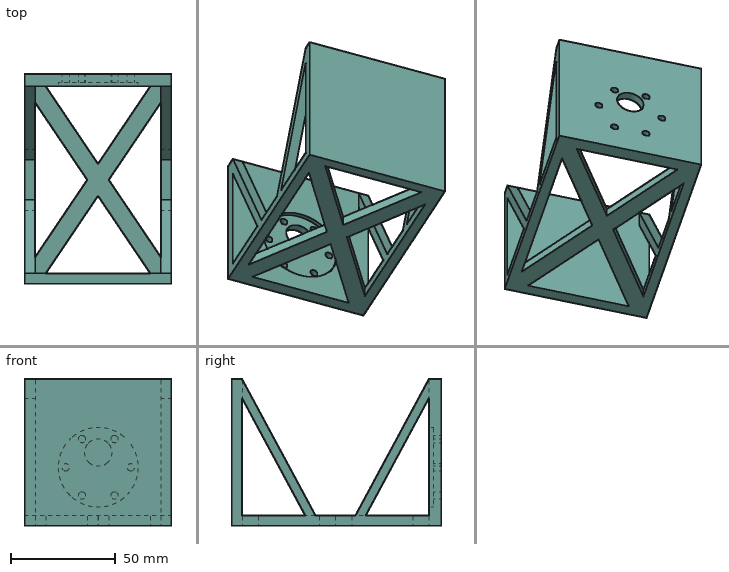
import cadquery as cq
import math

width = 70.0
length = 100.0
height = 70.0

front_thickness = 5.0
back_thickness = 6.0
base_thickness = 5.0
rail_width = 5.0

brace_run = 35.0
brace_width = 5.0

cross_bar_width = 8.6

recess_diameter = 38.0
recess_depth = 2.0
shaft_hole_diameter = 13.0
shaft_offset = 7.0
mount_height = height / 2 - shaft_offset
screw_hole_diameter = 3.5
screw_circle_diameter = 31.0
screw_count = 6

back_face = length - back_thickness
inner_width = width - 2 * rail_width
inner_length = back_face - front_thickness
inner_center = (front_thickness + back_face) / 2


def block(x_size, y_size, z_size, y_start):
    """Box centred on X, standing on Z = 0."""
    return cq.Workplane("XY").box(x_size, y_size, z_size, centered=(True, False, False)).translate(
        (0, y_start, 0)
    )


def side_brace(x_start, plate_face, direction):
    """Sloping brace from the top of a plate's inner face down to a side rail."""
    slope = (height - base_thickness) / brace_run
    foot = plate_face + direction * brace_run
    inner_foot = foot - direction * brace_width
    inner_top = height - slope * brace_width
    return (
        cq.Workplane("YZ", origin=(x_start, 0, 0))
        .moveTo(plate_face, height)
        .lineTo(foot, base_thickness)
        .lineTo(inner_foot, base_thickness)
        .lineTo(plate_face, inner_top)
        .close()
        .extrude(rail_width)
    )


def floor_cross():
    """Two bars along the diagonals of the floor opening, trimmed to it."""
    diagonal_angle = math.degrees(math.atan2(inner_length, inner_width))
    bar_length = 2 * length
    bar = (
        cq.Workplane("XY", origin=(0, inner_center, 0))
        .rect(bar_length, cross_bar_width)
        .extrude(base_thickness)
    )
    axis_start = (0, inner_center, 0)
    axis_end = (0, inner_center, 1)
    bars = bar.rotate(axis_start, axis_end, diagonal_angle)
    bars = bars.union(bar.rotate(axis_start, axis_end, -diagonal_angle))
    return bars.intersect(block(inner_width, inner_length, base_thickness, front_thickness))


def mount_cylinder(diameter, depth, x=0, z=0):
    """Cutter entering the back plate from its inner face, placed from the mount centre."""
    return cq.Workplane("XZ", origin=(x, back_face, mount_height + z)).circle(diameter / 2).extrude(-depth)


result = block(width, front_thickness, height, 0)
result = result.union(block(width, back_thickness, height, back_face))

rail = block(rail_width, inner_length, base_thickness, front_thickness)
for x_start in (-width / 2, width / 2 - rail_width):
    result = result.union(rail.translate((x_start + rail_width / 2, 0, 0)))
    result = result.union(side_brace(x_start, front_thickness, 1))
    result = result.union(side_brace(x_start, back_face, -1))

result = result.union(floor_cross())

result = result.cut(mount_cylinder(recess_diameter, recess_depth))
result = result.cut(mount_cylinder(shaft_hole_diameter, back_thickness, z=shaft_offset))
for index in range(screw_count):
    angle = 2 * math.pi * index / screw_count
    screw_x = screw_circle_diameter / 2 * math.cos(angle)
    screw_z = screw_circle_diameter / 2 * math.sin(angle)
    result = result.cut(mount_cylinder(screw_hole_diameter, back_thickness, screw_x, screw_z))